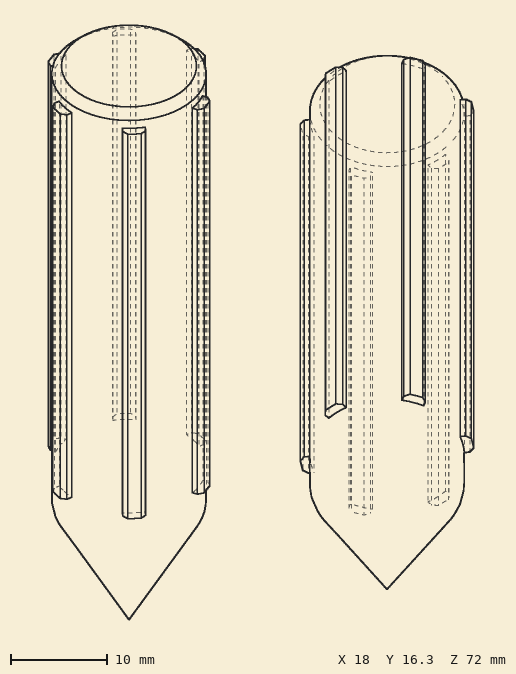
import cadquery as cq
import math

total_length = 72.0
body_radius = 8.0
top_chamfer = 1.0

cone_half_angle = 28.0
blend_radius = 2.5

rib_count = 6
rib_tip_radius = 9.0
rib_width = 2.4
rib_chamfer = 0.5
rib_length = 50.0
rib_top_gap = 2.0


def make_body():
    """Revolved round bar with a chamfered top and a point at Z = 0."""
    cone_height = body_radius / math.tan(math.radians(cone_half_angle))
    bar = (
        cq.Workplane("XZ")
        .moveTo(0, 0)
        .lineTo(body_radius, cone_height)
        .lineTo(body_radius, total_length - top_chamfer)
        .lineTo(body_radius - top_chamfer, total_length)
        .lineTo(0, total_length)
        .close()
        .revolve(360, (0, 0, 0), (0, 1, 0))
    )
    cone_rim = bar.edges("%CIRCLE").edges("<Z")
    return cone_rim.fillet(blend_radius)


def make_rib():
    """Straight-sided rib pointing along +X, rooted in the body, with chamfered outer edges."""
    root = body_radius / 2
    rib_bottom = total_length - rib_top_gap - rib_length
    return (
        cq.Workplane("XY", origin=(root, 0, rib_bottom))
        .box(rib_tip_radius - root, rib_width, rib_length, centered=(False, True, False))
        .edges("|Z and >X")
        .chamfer(rib_chamfer)
    )


result = make_body()
for index in range(rib_count):
    angle = index * 360 / rib_count
    result = result.union(make_rib().rotate((0, 0, 0), (0, 0, 1), angle))